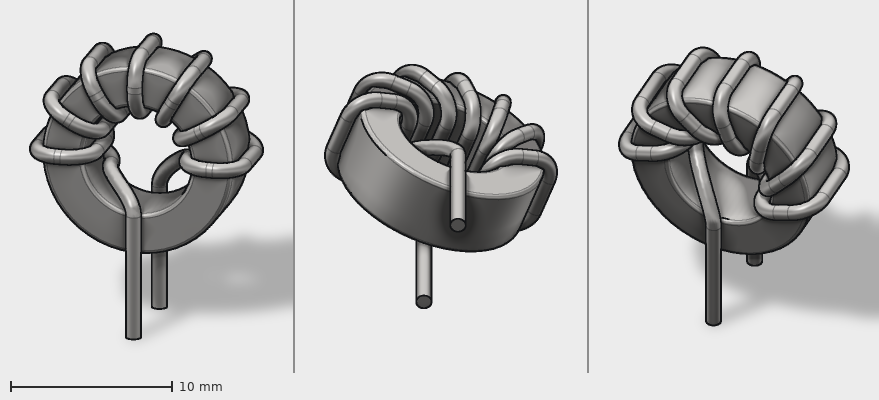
import cadquery as cq
import math

core_outer_diameter = 12.2
core_inner_diameter = 7.0
core_width = 4.5
core_edge_radius = 0.24

wire_diameter = 0.95
turn_count = 7
turn_pitch = 30.0
outer_run_radius = 6.63
inner_run_radius = 2.95
side_run_offset = 2.76
outer_bend = 1.53
inner_bend = 1.75

lead_offset = 3.04
lead_top = -3.31
lead_bottom = -11.3
lead_start_handle = 1.47
lead_end_handle = 1.29

outer_run_half = side_run_offset - outer_bend
inner_run_half = side_run_offset - inner_bend


def polar(radius, angle, y=0.0):
    """Point at a radius and angle (degrees) around the core axis."""
    turn = math.radians(angle)
    return cq.Vector(radius * math.cos(turn), y, radius * math.sin(turn))


def quarter_bend(corner, start_direction, end_direction, radius):
    """Arc that rounds a square corner, from the incoming to the outgoing direction."""
    start = corner - start_direction * radius
    end = corner + end_direction * radius
    centre = start + end_direction * radius
    middle = centre + (corner - centre).normalized() * radius
    return cq.Edge.makeThreePointArc(start, middle, end)


def side_crossing(outer_angle, inner_angle, side):
    """Bend, straight and bend beside the core, from an outer run to an inner run.

    side is -1 for the -Y face of the core and +1 for the +Y face.
    """
    outward = cq.Vector(0, side, 0)
    outer_corner = polar(outer_run_radius, outer_angle, side * side_run_offset)
    inner_corner = polar(inner_run_radius, inner_angle, side * side_run_offset)
    across = (inner_corner - outer_corner).normalized()
    first_bend = quarter_bend(outer_corner, outward, across, outer_bend)
    second_bend = quarter_bend(inner_corner, across, outward * -1, inner_bend)
    straight = cq.Edge.makeLine(first_bend.endPoint(), second_bend.startPoint())
    return [first_bend, straight, second_bend]


def outer_run(angle):
    """Straight wire along the outside of the core."""
    return cq.Edge.makeLine(
        polar(outer_run_radius, angle, -outer_run_half),
        polar(outer_run_radius, angle, outer_run_half),
    )


def inner_run(angle):
    """Straight wire along the bore."""
    return cq.Edge.makeLine(
        polar(inner_run_radius, angle, -inner_run_half),
        polar(inner_run_radius, angle, inner_run_half),
    )


def lead(inner_angle, side):
    """Curve from the bore to a lead on the given side, then the straight lead."""
    start = polar(inner_run_radius, inner_angle, -side * inner_run_half)
    top = cq.Vector(0, side * lead_offset, lead_top)
    bottom = cq.Vector(0, side * lead_offset, lead_bottom)
    start_handle = start + cq.Vector(0, side * lead_start_handle, 0)
    end_handle = top + cq.Vector(0, 0, lead_end_handle)
    curve = cq.Edge.makeBezier([start, start_handle, end_handle, top])
    return [curve, cq.Edge.makeLine(top, bottom)]


def make_winding():
    """One continuous wire: back lead, turns from 0 to 180 degrees, front lead."""
    path = lead(0, 1)
    for index in range(turn_count):
        angle = index * turn_pitch
        next_angle = angle + turn_pitch
        path += side_crossing(angle, angle, -1)
        path.append(outer_run(angle))
        path += side_crossing(angle, next_angle, 1)
        if index < turn_count - 1:
            path.append(inner_run(next_angle))
    path += lead(turn_count * turn_pitch, -1)
    spine = cq.Wire.assembleEdges(path)
    return (
        cq.Workplane("XY", origin=(0, lead_offset, lead_bottom))
        .circle(wire_diameter / 2)
        .sweep(cq.Workplane(spine))
    )


def make_core(winding):
    """Ring with rounded edges, recessed where the wire presses into its corners."""
    ring = (
        cq.Workplane("XZ")
        .circle(core_outer_diameter / 2)
        .circle(core_inner_diameter / 2)
        .extrude(core_width / 2, both=True)
        .edges("%CIRCLE")
        .fillet(core_edge_radius)
    )
    return ring.cut(winding)


winding = make_winding()
core = make_core(winding)

result = cq.Compound.makeCompound([core.val(), winding.val()])